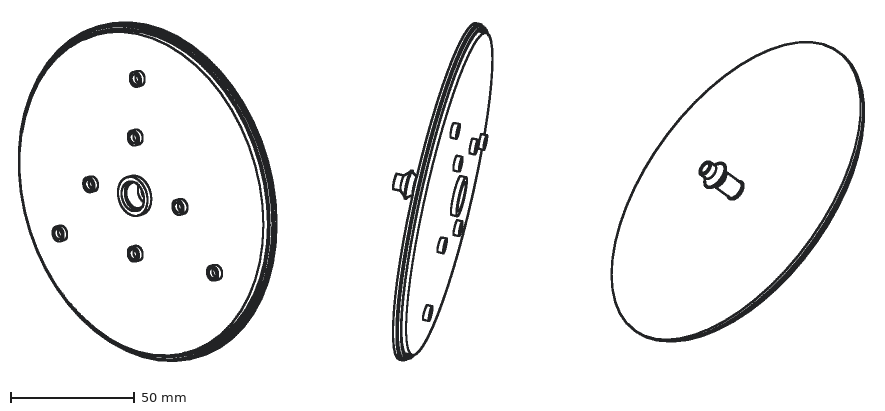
import cadquery as cq
import math


rim_radius = 70.0
rim_thickness = 1.4
step_chamfer = 0.5
step_front = 3.1
step_front_radius = 69.0

groove_mouth_radius = 68.0
groove_floor_radius = 67.6
groove_floor = 1.7

raised_radius = 67.0
raised_front = 4.8
dome_apex = 7.7
dome_rise = dome_apex - raised_front
dome_sphere_radius = (raised_radius**2 + dome_rise**2) / (2 * dome_rise)

hub_radius = 8.1
hub_front = 10.0

collar_radius = 4.2
collar_length = 0.7
stem_radius = 3.8
stem_end = 9.7
barb_radius = 5.9
barb_cone_radius = 5.5
barb_lip = 0.4
barb_middle = 12.3
barb_lip_start = barb_middle - barb_lip / 2
barb_lip_end = barb_middle + barb_lip / 2
barb_end = 15.0
tip_radius = 3.2
nozzle_end = 18.0

mouth_radius = 6.2
mouth_depth = 2.0
mouth_floor = hub_front - mouth_depth
bore_radius = 5.3
bore_floor_radius = 4.9
bore_floor = 1.5
throat_radius = 3.2
throat_start = 1.1
outlet_radius = 2.2

boss_radius = 3.1
boss_hole_radius = 2.1
boss_height = 2.2
boss_root = 0.7
inner_ring_radius = 24.5
inner_ring_angles = (0, 90, 180, 270)
outer_ring_radius = 2 * inner_ring_radius
outer_ring_angles = (90, 210, 330)


def dome_front(radius):
    """Front distance of the dome surface at a radius from the axis."""
    return dome_apex - dome_sphere_radius + math.sqrt(dome_sphere_radius**2 - radius**2)


def turn_about_y(half_section):
    """Revolve a closed half section a full turn about the Y axis."""
    return half_section.revolve(360, (0, 0, 0), (0, 1, 0))


def make_body():
    """Disc, dome, hub and nozzle as one solid without openings."""
    dome_middle = (raised_radius + hub_radius) / 2
    half_section = (
        cq.Workplane("XY")
        .moveTo(0, nozzle_end)
        .lineTo(tip_radius, nozzle_end)
        .lineTo(tip_radius, barb_end)
        .lineTo(barb_cone_radius, barb_lip_end)
        .lineTo(barb_radius, barb_lip_end)
        .lineTo(barb_radius, barb_lip_start)
        .lineTo(barb_cone_radius, barb_lip_start)
        .lineTo(stem_radius, stem_end)
        .lineTo(stem_radius, collar_length)
        .lineTo(collar_radius, collar_length)
        .lineTo(collar_radius, 0)
        .lineTo(rim_radius, 0)
        .lineTo(rim_radius, -rim_thickness)
        .lineTo(rim_radius - step_chamfer, -rim_thickness - step_chamfer)
        .lineTo(step_front_radius, -step_front)
        .lineTo(groove_mouth_radius, -step_front)
        .lineTo(groove_floor_radius, -groove_floor)
        .lineTo(raised_radius, -groove_floor)
        .lineTo(raised_radius, -raised_front)
        .threePointArc(
            (dome_middle, -dome_front(dome_middle)),
            (hub_radius, -dome_front(hub_radius)),
        )
        .lineTo(hub_radius, -hub_front)
        .lineTo(0, -hub_front)
        .close()
    )
    return turn_about_y(half_section)


def make_passage():
    """Stepped and tapered opening from the hub through the nozzle."""
    half_section = (
        cq.Workplane("XY")
        .moveTo(0, -hub_front)
        .lineTo(mouth_radius, -hub_front)
        .lineTo(mouth_radius, -mouth_floor)
        .lineTo(bore_radius, -mouth_floor)
        .lineTo(bore_floor_radius, -bore_floor)
        .lineTo(throat_radius, -throat_start)
        .lineTo(outlet_radius, nozzle_end)
        .lineTo(0, nozzle_end)
        .close()
    )
    return turn_about_y(half_section)


def boss_positions():
    """X and Z of every boss."""
    rings = (
        (inner_ring_radius, inner_ring_angles),
        (outer_ring_radius, outer_ring_angles),
    )
    positions = []
    for ring_radius, angles in rings:
        for angle in angles:
            turn = math.radians(angle)
            positions.append((ring_radius * math.cos(turn), ring_radius * math.sin(turn)))
    return positions


def cylinder_along_y(radius, x, z, front, back):
    """Cylinder parallel to Y between two front distances."""
    start = cq.Vector(x, -front, z)
    return cq.Workplane(obj=cq.Solid.makeCylinder(radius, front - back, start, cq.Vector(0, 1, 0)))


def add_boss(part, x, z):
    """Add one boss, sunk slightly into the dome, with a hole down to the dome."""
    foot = dome_front(math.hypot(x, z))
    front = foot + boss_height
    boss = cylinder_along_y(boss_radius, x, z, front, foot - boss_root)
    hole = cylinder_along_y(boss_hole_radius, x, z, front, foot)
    return part.union(boss).cut(hole)


result = make_body().cut(make_passage())
for boss_x, boss_z in boss_positions():
    result = add_boss(result, boss_x, boss_z)